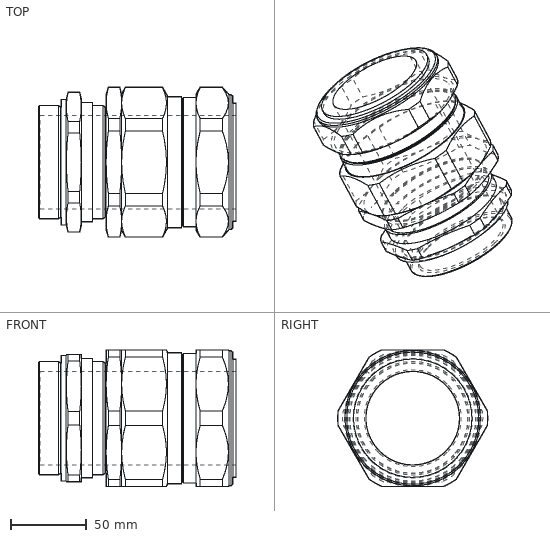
import cadquery as cq
import math


total_length = 130.3
bore_radius = 30.8
bore_chamfer_radius = 31.9
bore_chamfer_length = 1.0

thread_radius = 37.4
thread_chamfer = 0.9
neck_radius = 36.2
neck_slope_length = 1.2
entry_thread_end = 13.4
shoulder_radius = 39.4
shoulder_end = 35.7
inner_thread_end = 42.7

washer_start = 15.0
washer_radius = 41.5
lock_nut_start = 18.4
lock_nut_end = 28.4
lock_nut_flats = 83.9
lock_nut_corner_radius = 46.1
lock_nut_chamfer = 1.2

hex_flats = 90.0
hex_corner_radius = 49.45
flat_circle_radius = hex_flats / 2

body_start = 44.7
body_chamfer = 1.4
body_groove = 54.9
body_groove_left = 1.2
body_groove_right = 2.5
body_cone_start = 81.8
body_end = 85.0
body_end_radius = 43.9

body_ring_radius = 43.3
body_ring_end = 94.3
gap_radius = 41.7
gap_floor_end = 94.9
nut_ring_start = 95.8
nut_ring_radius = 42.7

nut_start = 103.8
nut_chamfer = 2.7
nut_cone_start = 121.2
collar_start = 125.6
collar_radius = 44.5
collar_end = 128.1
collar_chamfer = 1.0
sleeve_radius = 39.0


def turned(profile):
    """Solid of revolution about X under a line of (station, radius) points."""
    first_station = profile[0][0]
    last_station = profile[-1][0]
    outline = [(first_station, 0)] + profile + [(last_station, 0)]
    return cq.Workplane("XY").polyline(outline).close().revolve(360, (0, 0, 0), (1, 0, 0))


def hexagonal(profile, across_flats):
    """Turned blank cut to a hexagon with flats facing +Z and -Z."""
    start = profile[0][0]
    length = profile[-1][0] - start
    point_diameter = across_flats / math.cos(math.pi / 6)
    prism = cq.Workplane("YZ", origin=(start, 0, 0)).polygon(6, point_diameter).extrude(length)
    return turned(profile).intersect(prism)


core = turned([
    (0, thread_radius - thread_chamfer),
    (thread_chamfer, thread_radius),
    (entry_thread_end, thread_radius),
    (entry_thread_end + neck_slope_length, neck_radius),
    (washer_start, neck_radius),
    (washer_start, washer_radius),
    (lock_nut_start, washer_radius),
    (lock_nut_start, shoulder_radius),
    (shoulder_end, shoulder_radius),
    (shoulder_end, thread_radius),
    (inner_thread_end, thread_radius),
    (inner_thread_end + neck_slope_length, neck_radius),
    (body_start, neck_radius),
    (body_start, body_ring_radius),
    (body_ring_end, body_ring_radius),
    (body_ring_end, gap_radius),
    (gap_floor_end, gap_radius),
    (nut_ring_start, nut_ring_radius),
    (nut_start, nut_ring_radius),
    (nut_start, sleeve_radius),
    (total_length, sleeve_radius),
])

lock_nut = hexagonal([
    (lock_nut_start, washer_radius),
    (lock_nut_start + lock_nut_chamfer, lock_nut_corner_radius),
    (lock_nut_end - lock_nut_chamfer, lock_nut_corner_radius),
    (lock_nut_end, washer_radius),
], lock_nut_flats)

body = hexagonal([
    (body_start, flat_circle_radius),
    (body_start + body_chamfer, hex_corner_radius),
    (body_groove - body_groove_left, hex_corner_radius),
    (body_groove, flat_circle_radius),
    (body_groove + body_groove_right, hex_corner_radius),
    (body_cone_start, hex_corner_radius),
    (body_end, body_end_radius),
], hex_flats)

clamping_nut = hexagonal([
    (nut_start, flat_circle_radius),
    (nut_start + nut_chamfer, hex_corner_radius),
    (nut_cone_start, hex_corner_radius),
    (collar_start, collar_radius),
    (collar_end - collar_chamfer, collar_radius),
    (collar_end, collar_radius - collar_chamfer),
], hex_flats)

bore = turned([
    (0, bore_chamfer_radius),
    (bore_chamfer_length, bore_radius),
    (total_length, bore_radius),
])

result = core.union(lock_nut).union(body).union(clamping_nut).cut(bore)